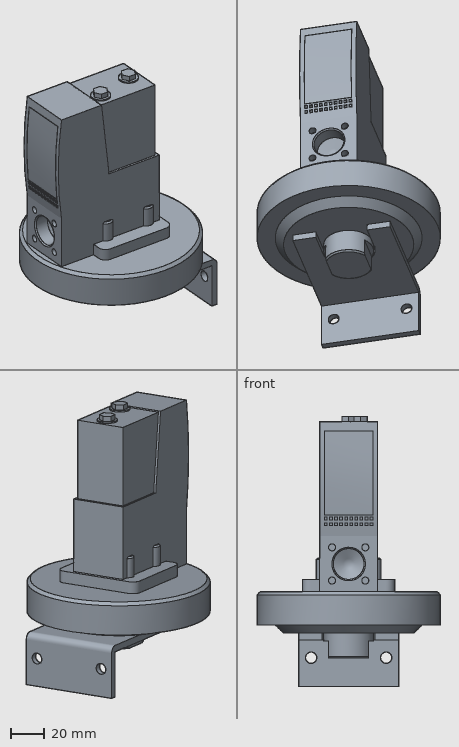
import cadquery as cq
import math


overall_height = 162.0
overall_depth = 112.0

chamber_diameter = 110.0
chamber_top = 57.0
chamber_bottom = 37.0
chamber_edge_chamfer = 2.0
cone_top_radius = 44.0
cone_bottom_radius = 39.0

bracket_width = 60.1
bracket_top = 32.0
bracket_thickness = 4.0
bracket_front = -17.8
bracket_back = overall_depth - chamber_diameter / 2
bracket_bend_radius = 4.0
bracket_slot_width = 31.8
bracket_hole_diameter = 6.6
bracket_hole_spacing = 45.0
bracket_hole_height = 17.3

spigot_diameter = 30.0
spigot_bottom = 17.0
spigot_chamfer = 1.0
spigot_flats = 24.0
spigot_flats_top = 27.4

plate_width = 55.4
plate_depth = 51.5
plate_thickness = 7.3
plate_corner_radius = 5.0
stud_diameter = 8.9
stud_spacing = 30.0
stud_top = 77.1
stud_chamfer = 1.0

housing_width = 34.8
housing_back = 23.2
housing_front = -49.5
housing_shoulder = 109.4
front_arc_bottom = 90.2
front_bulge = 2.5
hood_top = 159.0
hood_back_top = -19.8
hood_back_bottom = -14.3
rear_block_width = 31.9
rear_block_back = 21.0
rear_block_top = 158.1

screw_positions = [(0, 13.0), (7.1, -13.0)]
washer_diameter = 12.2
washer_thickness = 0.8
screw_across_flats = 8.1

window_width = 29.0
window_bottom = 102.9
window_top = 153.3
window_recess = 0.2
dot_columns = 10
dot_rows = 2
dot_size = 1.6
dot_column_pitch = (window_width - dot_size) / (dot_columns - 1)
dot_row_pitch = 3.4
dot_recess = 0.5
dot_centre_height = 99.1

port_height = 73.5
port_diameter = 18.5
port_chamfer = 0.8
port_depth = 9.0
port_tip_angle = 130.0
port_screw_spacing = 20.0
port_screw_diameter = 4.2
port_screw_depth = 4.9


def box(x_size, y_range, z_range):
    """A box centred on X = 0 between two Y places and two heights."""
    y_size = y_range[1] - y_range[0]
    z_size = z_range[1] - z_range[0]
    return cq.Workplane().box(x_size, y_size, z_size, centered=(True, False, False)).translate(
        (0, y_range[0], z_range[0])
    )


def cylinder(diameter, bottom, top):
    return cq.Workplane().workplane(offset=bottom).circle(diameter / 2).extrude(top - bottom)


def make_chamber():
    """The round chamber, tapering to a smaller flat underside."""
    radius = chamber_diameter / 2
    return (
        cq.Workplane("XZ")
        .moveTo(0, bracket_top)
        .lineTo(cone_bottom_radius, bracket_top)
        .lineTo(cone_top_radius, chamber_bottom)
        .lineTo(radius, chamber_bottom)
        .lineTo(radius, chamber_top - chamber_edge_chamfer)
        .lineTo(radius - chamber_edge_chamfer, chamber_top)
        .lineTo(0, chamber_top)
        .close()
        .revolve(360, (0, 0), (0, 1))
    )


def make_bracket():
    """An angle plate, slotted from its front edge around the spigot."""
    flange_bottom = bracket_top - bracket_thickness
    flange = box(bracket_width, (bracket_front, bracket_back), (flange_bottom, bracket_top))
    leg = box(bracket_width, (bracket_back - bracket_thickness, bracket_back), (0, bracket_top))
    bracket = flange.union(leg).edges(">Y and >Z").fillet(bracket_bend_radius)

    slot = cylinder(bracket_slot_width, flange_bottom, bracket_top).union(
        box(bracket_slot_width, (bracket_front, 0), (flange_bottom, bracket_top))
    )
    holes = (
        cq.Workplane("XZ", origin=(0, bracket_back, bracket_hole_height))
        .rarray(bracket_hole_spacing, 1.6, 2, 1)
        .circle(bracket_hole_diameter / 2)
        .extrude(bracket_thickness)
    )
    return bracket.cut(slot).cut(holes)


def make_spigot():
    """A short round spigot with two wrench flats facing -X and +X."""
    spigot = cylinder(spigot_diameter, spigot_bottom, bracket_top)
    spigot = spigot.faces("<Z").chamfer(spigot_chamfer)
    half = spigot_diameter / 2
    flats_zone = box(spigot_diameter, (-half, half), (spigot_bottom, spigot_flats_top))
    kept = box(spigot_flats, (-half, half), (spigot_bottom, spigot_flats_top))
    return spigot.cut(flats_zone.cut(kept))


def make_clamping_plate():
    """A rounded plate on the chamber with four studs part-buried in the housing."""
    plate = (
        cq.Workplane()
        .workplane(offset=chamber_top)
        .rect(plate_width, plate_depth)
        .extrude(plate_thickness)
        .edges("|Z")
        .fillet(plate_corner_radius)
    )
    studs = (
        cq.Workplane()
        .workplane(offset=chamber_top)
        .rarray(stud_spacing, stud_spacing, 2, 2)
        .circle(stud_diameter / 2)
        .extrude(stud_top - chamber_top)
        .faces(">Z")
        .chamfer(stud_chamfer)
    )
    return plate.union(studs)


def bulged_profile(recess):
    """Side outline of the shoulder and hood, with the bulged front set back by `recess`."""
    front = housing_front + recess
    arc_middle = (front_arc_bottom + hood_top) / 2
    return (
        cq.Workplane("YZ")
        .moveTo(housing_back, front_arc_bottom)
        .lineTo(housing_back, housing_shoulder)
        .lineTo(hood_back_bottom, housing_shoulder)
        .lineTo(hood_back_top, hood_top)
        .lineTo(front, hood_top)
        .threePointArc((front - front_bulge, arc_middle), (front, front_arc_bottom))
        .close()
    )


def make_housing():
    """Lower body, bulged hood and the narrower block behind the hood."""
    body = box(housing_width, (housing_front, housing_back), (chamber_top, front_arc_bottom))
    hood = bulged_profile(0).extrude(housing_width / 2, both=True)
    rear_block = box(
        rear_block_width, (hood_back_top, rear_block_back), (housing_shoulder, rear_block_top)
    )
    return body.union(hood).union(rear_block)


def front_recess(x_size, z_range, recess):
    """Cutter that sinks part of the bulged front to an even depth."""
    reach = (housing_front - 2 * front_bulge, housing_front + 2 * front_bulge)
    inner = bulged_profile(recess).extrude(housing_width / 2, both=True)
    return box(x_size, reach, z_range).cut(inner)


def cut_front_panel(housing):
    """Sink the window and the rows of indicator dots into the bulged front."""
    housing = housing.cut(front_recess(window_width, (window_bottom, window_top), window_recess))
    for row in range(dot_rows):
        height = dot_centre_height + (row - (dot_rows - 1) / 2) * dot_row_pitch
        dot = front_recess(dot_size, (height - dot_size / 2, height + dot_size / 2), dot_recess)
        for column in range(dot_columns):
            x = (column - (dot_columns - 1) / 2) * dot_column_pitch
            housing = housing.cut(dot.translate((x, 0, 0)))
    return housing


def make_port():
    """Cutter for the cable entry: a chamfered bore with a drill tip, and four screw holes."""
    radius = port_diameter / 2
    tip_length = radius / math.tan(math.radians(port_tip_angle / 2))
    bore = (
        cq.Workplane("XY", origin=(0, housing_front, port_height))
        .lineTo(radius + port_chamfer, 0)
        .lineTo(radius, port_chamfer)
        .lineTo(radius, port_depth)
        .lineTo(0, port_depth + tip_length)
        .close()
        .revolve(360, (0, 0), (0, 1))
    )
    screw_holes = (
        cq.Workplane("XZ", origin=(0, housing_front, port_height))
        .rarray(port_screw_spacing, port_screw_spacing, 2, 2)
        .circle(port_screw_diameter / 2)
        .extrude(-port_screw_depth)
    )
    return bore.union(screw_holes)


def make_screw(x, y):
    """A washer and a hexagon head, with two flats facing -X and +X."""
    corner_diameter = screw_across_flats / math.cos(math.radians(30))
    washer = cylinder(washer_diameter, rear_block_top, rear_block_top + washer_thickness)
    head = (
        cq.Workplane()
        .workplane(offset=rear_block_top)
        .polygon(6, corner_diameter)
        .extrude(overall_height - rear_block_top)
        .rotate((0, 0, 0), (0, 0, 1), 30)
    )
    return washer.union(head).translate((x, y, 0))


housing = cut_front_panel(make_housing())
result = (
    make_chamber()
    .union(make_bracket())
    .union(make_spigot())
    .union(make_clamping_plate())
    .union(housing)
    .cut(make_port())
)
for screw_x, screw_y in screw_positions:
    result = result.union(make_screw(screw_x, screw_y))